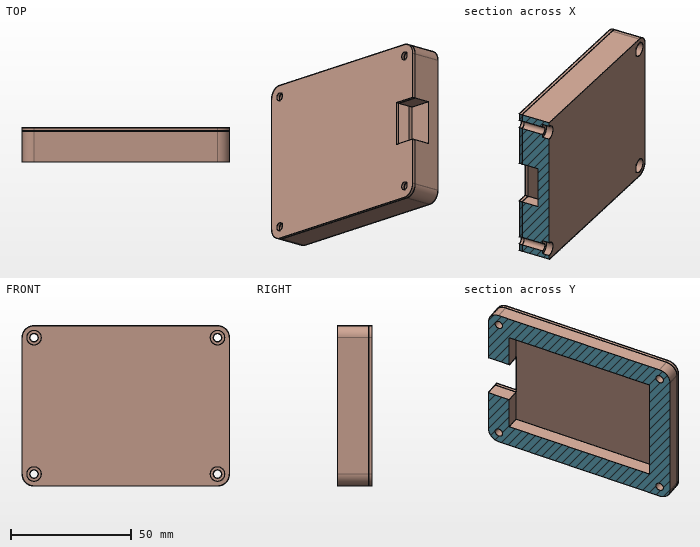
import cadquery as cq

width = 86.1
depth = 14.4
height = 66.6
corner_radius = 5.0

lid_thickness = 1.4
lid_gap = 0.1
floor_thickness = 5.4
board_thickness = 1.6
lid_start = depth - lid_thickness
housing_depth = lid_start - lid_gap

wall_thickness = 10.0
pocket_width = width - 2 * wall_thickness
pocket_height = height - 2 * wall_thickness

notch_height = 18.2

screw_hole_diameter = 3.4
counterbore_diameter = 6.0
counterbore_depth = 3.1
screw_points = [
    (side * (width / 2 - corner_radius), level * (height / 2 - corner_radius))
    for side in (-1, 1)
    for level in (-1, 1)
]


def front_plane(y):
    """Sketch plane at the given Y with X to the right, Z up, extruding towards +Y."""
    return cq.Workplane(cq.Plane(origin=(0, y, 0), xDir=(1, 0, 0), normal=(0, -1, 0)))


def block(size_x, size_z, y_start, y_end):
    """Rectangular block centred on the Y axis."""
    return front_plane(y_start).rect(size_x, size_z).extrude(y_start - y_end)


def rounded_plate(y_start, y_end):
    """Full outline of the case with rounded corners."""
    return block(width, height, y_start, y_end).edges("|Y").fillet(corner_radius)


def screw_bores(diameter, y_start, y_end):
    """One cylinder at each of the four corners."""
    return front_plane(y_start).pushPoints(screw_points).circle(diameter / 2).extrude(y_start - y_end)


def notch_cutter():
    """Block that opens the -X wall from outside to the pocket, from the pocket floor to the back."""
    cutter = block(wall_thickness, notch_height, floor_thickness, depth)
    return cutter.translate(((wall_thickness - width) / 2, 0, 0))


def make_housing():
    """Thick-walled tray with a pocket open to the back."""
    body = rounded_plate(0, housing_depth)
    body = body.cut(block(pocket_width, pocket_height, floor_thickness, housing_depth))
    body = body.cut(notch_cutter())
    body = body.cut(screw_bores(screw_hole_diameter, 0, housing_depth))
    return body.cut(screw_bores(counterbore_diameter, 0, counterbore_depth))


def make_board():
    """Flat board that fills the bottom of the pocket."""
    return block(pocket_width, pocket_height, floor_thickness, floor_thickness + board_thickness)


def make_lid():
    """Plate that closes the back of the housing."""
    plate = rounded_plate(lid_start, depth)
    plate = plate.cut(notch_cutter())
    return plate.cut(screw_bores(screw_hole_diameter, lid_start, depth))


housing = make_housing()
board = make_board()
lid = make_lid()

result = cq.Compound.makeCompound([housing.val(), board.val(), lid.val()])